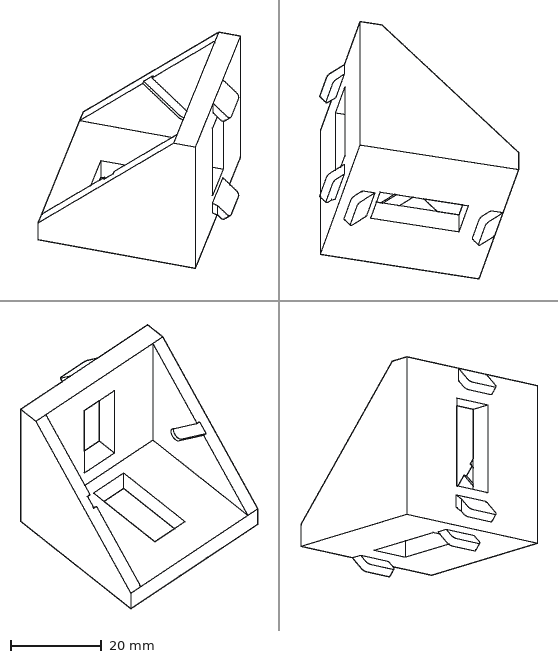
import cadquery as cq
import math

overall = 39.9
depth = 38.0
leg = 36.02
leg_thickness = 5.0
wall_thickness = 3.0

slot_length = 20.02
slot_width = 9.0
floor_slot_center = leg / 2
upright_slot_center = 19.05

tab_width = 8.1
tab_root = 2.85
tab_corner_radius = 1.0
inner_tab_offset = 6.95
tab_reach = overall - leg
tab_thickness = tab_root / math.sqrt(2)
tab_embed = tab_thickness

flare = 0.68
flare_reach = 1.05

groove_width = 3.0
groove_depth = 0.75
groove_end_radius = 1.48
groove_length = 13.0

inner_width = depth - 2 * wall_thickness


def side_plate(points, thickness):
    """Prism of an XZ outline, centred on y = 0."""
    return cq.Workplane("XZ").polyline(points).close().extrude(thickness / 2, both=True)


def make_bracket():
    """Floor, upright and two sloped side walls, with open space between the walls."""
    profile = [
        (0, 0),
        (leg, 0),
        (leg, leg),
        (leg - leg_thickness, leg),
        (0, leg_thickness),
    ]
    cavity = [
        (0, leg_thickness),
        (leg - leg_thickness, leg_thickness),
        (leg - leg_thickness, leg),
        (0, leg),
    ]
    return side_plate(profile, depth).cut(side_plate(cavity, inner_width))


def cut_bolt_slots(body):
    floor_slot = cq.Workplane("XY").box(slot_length, slot_width, 2 * leg_thickness)
    upright_slot = cq.Workplane("XY").box(2 * leg_thickness, slot_width, slot_length)
    body = body.cut(floor_slot.translate((floor_slot_center, 0, 0)))
    return body.cut(upright_slot.translate((leg, 0, upright_slot_center)))


def tab_blank():
    """Tab along +X with its upper side on z = 0 and its root line at x = 0."""
    length = tab_reach * math.sqrt(2) + tab_embed
    blank = cq.Workplane("XY").box(length, tab_width, tab_thickness, centered=(False, True, False))
    blank = blank.edges("|Z and >X").fillet(tab_corner_radius)
    return blank.translate((-tab_embed, 0, -tab_thickness))


def upright_tab(z_top):
    """Tab sloping down at 45 degrees from the outside of the upright."""
    tab = tab_blank().rotate((0, 0, 0), (0, 1, 0), 45).translate((leg, 0, z_top))
    outside = cq.Workplane("XY").box(overall, depth, 3 * overall, centered=(False, True, True))
    return tab.intersect(outside.translate((leg, 0, 0)))


def root_flare(z_top):
    """Wedge widening the root of an upright tab on its -Y side."""
    edge = -tab_width / 2
    outline = [(leg, edge), (leg + flare_reach, edge), (leg, edge - flare)]
    wedge = cq.Workplane("XY").polyline(outline).close().extrude(z_top)
    slope_outline = [
        (leg, z_top),
        (leg + flare_reach, z_top - flare_reach),
        (leg + flare_reach, z_top - flare_reach - tab_root),
        (leg, z_top - tab_root),
    ]
    return wedge.intersect(side_plate(slope_outline, depth))


def mirror_across_diagonal(shape):
    """Swap the upright and the floor: (x, z) becomes (leg - z, leg - x)."""
    turned = shape.mirror("XY").rotate((0, 0, 0), (0, 1, 0), 90)
    return turned.translate((leg, 0, leg))


def add_tabs(body):
    for z_top in (leg, inner_tab_offset):
        tab = upright_tab(z_top)
        body = body.union(tab).union(mirror_across_diagonal(tab))
    return body.union(root_flare(inner_tab_offset))


def cut_grooves(body):
    """Grooves in the inner wall faces, square to the sloped edge at its middle."""
    middle_x = (leg - leg_thickness) / 2
    middle_z = (leg + leg_thickness) / 2
    groove = cq.Workplane("XY").box(2 * groove_length, inner_width + 2 * groove_depth, groove_width)
    groove = groove.edges("|Y and >X").fillet(groove_end_radius)
    core = cq.Workplane("XY").box(2 * groove_length, inner_width, groove_width)
    groove = groove.cut(core).rotate((0, 0, 0), (0, 1, 0), 45)
    return body.cut(groove.translate((middle_x, 0, middle_z)))


result = cut_grooves(add_tabs(cut_bolt_slots(make_bracket())))